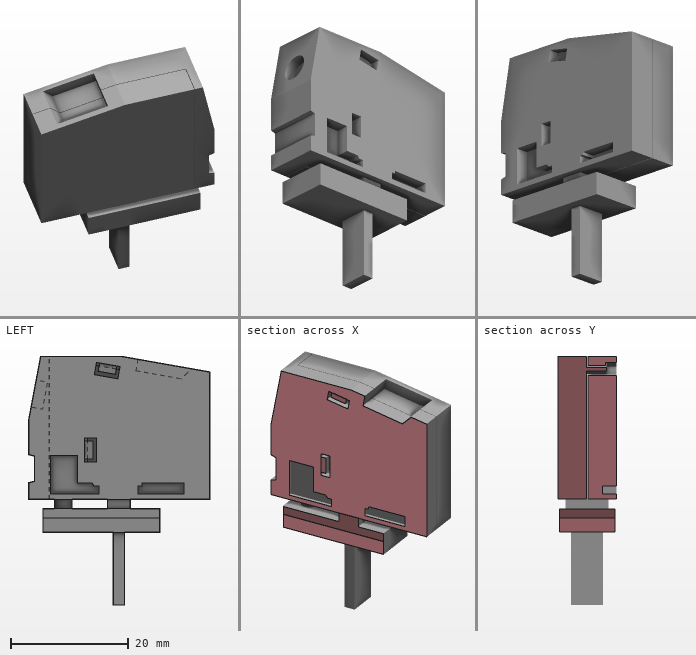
import cadquery as cq
import math


WIDTH = 10.1
DEPTH = 31.0
HEIGHT = 24.45
SLOPE_ANGLE = 10.0
SLOPE_START_Y = 15.0
BACK_TOP_Y = 28.95
BACK_LEAN_Z = 13.6
FRONT_TOP_Z = HEIGHT - SLOPE_START_Y * math.tan(math.radians(SLOPE_ANGLE))

NOTCH_BOTTOM_Z = 2.85
NOTCH_TOP_Z = 7.65
NOTCH_DEPTH = 0.98
NOTCH_TAPER = 0.25

SEAM_GAP = 0.1
COVER_BACK_Y = 27.45

RECESS_WIDTH = 8.15
RECESS_X = -0.065
RECESS_FRONT_Y = 3.15
RECESS_BACK_Y = 12.3
RECESS_DEPTH = 2.0
RECESS_RAMP_RUN = 1.75

ENTRY_DIAMETER = 4.7
ENTRY_Z = 18.1
ENTRY_DEPTH = 2.0

SIDE_POCKET_DEPTH = 2.42
POCKET_BOTTOM_Z = 0.95
POCKET_STEP_Z = 2.25
POCKET_LOW_TOP_Z = 2.75
POCKET_HIGH_TOP_Z = 7.52
L_POCKET_BACK_Y = 27.25
L_POCKET_TALL_FRONT_Y = 22.6
L_POCKET_BEVEL_Y = 20.15
L_POCKET_STEP_Y = 19.75
L_POCKET_FRONT_Y = 18.95
SLOT_BACK_Y = 12.3
SLOT_STEP_Y = 11.55
SLOT_FRONT_Y = 4.45

CLIP_PLACES = [((17.55, 22.0), SLOPE_ANGLE), ((20.4, 8.45), -90.0)]
WINDOW_LENGTH = 4.1
WINDOW_HEIGHT = 2.12
WINDOW_DEPTH = 1.9
LEDGE = 0.5
CLIP_LENGTH = 3.0
CLIP_HEIGHT = 1.45
CLIP_FACE_DEPTH = 1.7

PLATE_WIDTH = 9.65
PLATE_FRONT_Y = 8.55
PLATE_BACK_Y = 28.55
UPPER_PLATE_TOP_Z = -1.57
UPPER_PLATE_THICKNESS = 1.6
LOWER_PLATE_THICKNESS = 2.45
POST_WIDTH = 7.25
POST_LENGTH = 3.95
BLADE_WIDTH = 5.45
BLADE_LENGTH = 2.0
BLADE_Y = 15.55
PIN_DIAMETER = 3.0
PIN_Y = 25.08
TOTAL_HEIGHT = 42.5

SIDE_X = -WIDTH / 2
LOWER_PLATE_TOP_Z = UPPER_PLATE_TOP_Z - UPPER_PLATE_THICKNESS
LOWER_PLATE_BOTTOM_Z = LOWER_PLATE_TOP_Z - LOWER_PLATE_THICKNESS
BLADE_BOTTOM_Z = HEIGHT - TOTAL_HEIGHT


def box(x_range, y_range, z_range):
    """Block between the given limits along each axis."""
    sizes = [high - low for low, high in (x_range, y_range, z_range)]
    corner = (x_range[0], y_range[0], z_range[0])
    return cq.Workplane("XY").box(*sizes, centered=False).translate(corner)


def centred(size, middle=0.0):
    """Limits of a given size about a middle."""
    return (middle - size / 2, middle + size / 2)


def side_prism(points, x_start, x_end):
    """Outline in (Y, Z) extruded along X."""
    return cq.Workplane("YZ", origin=(x_start, 0, 0)).polyline(points).close().extrude(x_end - x_start)


def roof_z(y):
    """Height of the sloped roof at a given Y."""
    return FRONT_TOP_Z + y * math.tan(math.radians(SLOPE_ANGLE))


def envelope():
    """Closed outer shape shared by the housing and its cover."""
    notch_y = DEPTH - NOTCH_DEPTH
    outline = [
        (0, 0),
        (0, FRONT_TOP_Z),
        (SLOPE_START_Y, HEIGHT),
        (BACK_TOP_Y, HEIGHT),
        (DEPTH, BACK_LEAN_Z),
        (DEPTH, NOTCH_TOP_Z),
        (notch_y, NOTCH_TOP_Z - NOTCH_TAPER),
        (notch_y, NOTCH_BOTTOM_Z + NOTCH_TAPER),
        (DEPTH, NOTCH_BOTTOM_Z),
        (DEPTH, 0),
    ]
    return side_prism(outline, SIDE_X, -SIDE_X).cut(label_recess())


def label_recess():
    """Recess with its floor parallel to the sloped roof."""
    slope = math.radians(SLOPE_ANGLE)
    front_z = roof_z(RECESS_FRONT_Y)
    back_z = roof_z(RECESS_BACK_Y)
    outline = [
        (RECESS_FRONT_Y, front_z),
        (RECESS_FRONT_Y + RECESS_RAMP_RUN, front_z - RECESS_RAMP_RUN),
        (RECESS_BACK_Y + RECESS_DEPTH * math.sin(slope), back_z - RECESS_DEPTH * math.cos(slope)),
        (RECESS_BACK_Y, back_z),
    ]
    return side_prism(outline, *centred(RECESS_WIDTH, RECESS_X))


def cover_zone(clearance):
    """Front +X half of the envelope, held back from the seam by a clearance."""
    return box((clearance, -SIDE_X), (0, COVER_BACK_Y - clearance), (0, HEIGHT))


def wire_entry():
    """Round blind hole square to the leaning back face."""
    lean_run = DEPTH - BACK_TOP_Y
    lean_rise = HEIGHT - BACK_LEAN_Z
    entry_y = DEPTH - lean_run * (ENTRY_Z - BACK_LEAN_Z) / lean_rise
    inward = cq.Vector(0, -lean_rise, -lean_run)
    return cq.Workplane(
        cq.Solid.makeCylinder(ENTRY_DIAMETER / 2, ENTRY_DEPTH, cq.Vector(0, entry_y, ENTRY_Z), inward)
    )


def side_pockets():
    """Stepped L-shaped pocket and low slot in the -X side."""
    l_outline = [
        (L_POCKET_BACK_Y, POCKET_BOTTOM_Z),
        (L_POCKET_BACK_Y, POCKET_HIGH_TOP_Z),
        (L_POCKET_TALL_FRONT_Y, POCKET_HIGH_TOP_Z),
        (L_POCKET_TALL_FRONT_Y, POCKET_LOW_TOP_Z),
        (L_POCKET_BEVEL_Y, POCKET_LOW_TOP_Z),
        (L_POCKET_STEP_Y, POCKET_STEP_Z),
        (L_POCKET_FRONT_Y, POCKET_STEP_Z),
        (L_POCKET_FRONT_Y, POCKET_BOTTOM_Z),
    ]
    slot_outline = [
        (SLOT_BACK_Y, POCKET_BOTTOM_Z),
        (SLOT_BACK_Y, POCKET_STEP_Z),
        (SLOT_STEP_Y, POCKET_STEP_Z),
        (SLOT_STEP_Y, POCKET_LOW_TOP_Z),
        (SLOT_FRONT_Y, POCKET_LOW_TOP_Z),
        (SLOT_FRONT_Y, POCKET_BOTTOM_Z),
    ]
    pocket_end = SIDE_X + SIDE_POCKET_DEPTH
    return side_prism(l_outline, SIDE_X, pocket_end).union(side_prism(slot_outline, SIDE_X, pocket_end))


def placed(shape, place):
    """Move a clip feature, modelled about the X axis with its catching side up, to its place."""
    (y, z), turn = place
    return shape.rotate((0, 0, 0), (1, 0, 0), turn).translate((0, y, z))


def clip_window(place):
    """Window in the -X side with a narrower slot behind it that leaves the ledge."""
    top = WINDOW_HEIGHT / 2
    window = box((SIDE_X, SIDE_X + WINDOW_DEPTH), centred(WINDOW_LENGTH), (-top, top))
    slot = box((SIDE_X, 0), centred(WINDOW_LENGTH), (-top, top - LEDGE))
    return placed(window.union(slot), place)


def clip(place):
    """Arm of the cover that runs through the slot and hooks over the ledge."""
    top = WINDOW_HEIGHT / 2
    arm = box((SIDE_X + CLIP_FACE_DEPTH, SEAM_GAP), centred(CLIP_LENGTH), (top - CLIP_HEIGHT, top - LEDGE))
    hook = box(
        (SIDE_X + CLIP_FACE_DEPTH, SIDE_X + WINDOW_DEPTH), centred(CLIP_LENGTH), (top - CLIP_HEIGHT, top)
    )
    return placed(arm.union(hook), place)


def make_housing():
    """-X half and full-width back strip of the envelope."""
    body = envelope().cut(cover_zone(-SEAM_GAP / 2)).cut(wire_entry()).cut(side_pockets())
    for place in CLIP_PLACES:
        body = body.cut(clip_window(place))
    return body


def make_cover():
    """Front +X half of the envelope with its snap clips."""
    body = envelope().intersect(cover_zone(SEAM_GAP / 2))
    for place in CLIP_PLACES:
        body = body.union(clip(place))
    return body


def plate(top_z, bottom_z):
    """Rectangular plate between two heights."""
    return box(centred(PLATE_WIDTH), (PLATE_FRONT_Y, PLATE_BACK_Y), (bottom_z, top_z))


def make_upper_plate():
    """Plate with the post and round pin that meet the housing underside."""
    post = box(centred(POST_WIDTH), centred(POST_LENGTH, BLADE_Y), (UPPER_PLATE_TOP_Z, 0))
    pin = (
        cq.Workplane("XY", origin=(0, PIN_Y, UPPER_PLATE_TOP_Z))
        .circle(PIN_DIAMETER / 2)
        .extrude(-UPPER_PLATE_TOP_Z)
    )
    return plate(UPPER_PLATE_TOP_Z, LOWER_PLATE_TOP_Z).union(post).union(pin)


def make_lower_plate():
    """Plate with the flat contact blade hanging from it."""
    blade = box(
        centred(BLADE_WIDTH), centred(BLADE_LENGTH, BLADE_Y), (BLADE_BOTTOM_Z, LOWER_PLATE_BOTTOM_Z)
    )
    return plate(LOWER_PLATE_TOP_Z, LOWER_PLATE_BOTTOM_Z).union(blade)


housing = make_housing()
cover = make_cover()
upper_plate = make_upper_plate()
lower_plate = make_lower_plate()

bodies = [housing, cover, upper_plate, lower_plate]
result = cq.Compound.makeCompound([body.solids().val() for body in bodies])